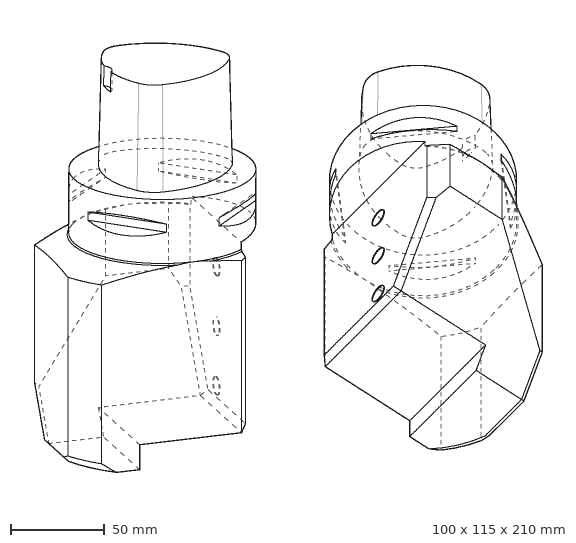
import cadquery as cq
import math


TOTAL_HEIGHT = 210

SHANK_HEIGHT = 60.0
SHANK_TAPER = 1 / 20
CORNER_CENTRE = 23.7
FLANK_CENTRE = 21.0
CORNER_RADIUS = 15.1
CORNER_ANGLES = (90, 210, 330)
CORNER_PITCH = 120

NOTCH_DIAMETER = 15.1
NOTCH_DEPTH = 11.1
NOTCH_CENTRE_Y = -36.5

FLANGE_RADIUS = 50.0
FLANGE_HEIGHT = 36.1

SLOT_FLOOR = 44.3
SLOT_FLOOR_WIDTH = 4.6
SLOT_FLARE = 30
SLOT_MID_Z = -16.2
SLOT_ANGLES = (45, 135, 225, 315)

BODY_BOTTOM = SHANK_HEIGHT - TOTAL_HEIGHT
SIDE_X = FLANGE_RADIUS
FRONT_Y = -65.0
BACK_Y = 30.5
SIDE_SLANT_START_Y = -14.0
SIDE_SLANT = 60
CORNER_ROUND = 72.5
BACK_LEFT_CHAMFER = 8.8
FRONT_CHAMFER = 3.2
BACK_CHAMFER = 3.5
SHOULDER_SLOPE = 16
SHOULDER_FLARE = 0.8

STUD_DIAMETER = 10.0
STUD_HEIGHT = 0.5
STUD_COUNT = 3
STUD_FIRST_Z = -58.8
STUD_PITCH = 33.5

UNDERCUT_START_Z = -75.0
UNDERCUT_SLANT = 60
STEP_Y = -30.9
STEP_HEIGHT = 14.0
BOTTOM_CORNER_CHAMFER = 5.9
RELIEF_Z = -32.1
RELIEF_SLOPE = 5

MARGIN = 42.0


def polar(radius, angle):
    a = math.radians(angle)
    return radius * math.cos(a), radius * math.sin(a)


def shank_outline(plane_z, corner_radius):
    """Rounded triangle with tangent corner and flank arcs."""
    corner_x, corner_y = polar(CORNER_CENTRE, CORNER_ANGLES[1])
    centre_gap = math.hypot(corner_x, FLANK_CENTRE - corner_y)
    flank_radius = corner_radius + centre_gap
    flank_half_sweep = math.degrees(math.asin(-corner_x / centre_gap))
    corner_half_sweep = CORNER_PITCH / 2 - flank_half_sweep

    def corner_point(corner, normal):
        cx, cy = polar(CORNER_CENTRE, corner)
        nx, ny = polar(corner_radius, normal)
        return cx + nx, cy + ny

    first = CORNER_ANGLES[0]
    outline = cq.Workplane("XY", origin=(0, 0, plane_z))
    outline = outline.moveTo(*corner_point(first, first - corner_half_sweep))
    for corner in CORNER_ANGLES:
        following = corner + CORNER_PITCH
        outline = outline.threePointArc(
            polar(CORNER_CENTRE + corner_radius, corner),
            corner_point(corner, corner + corner_half_sweep),
        )
        outline = outline.threePointArc(
            polar(flank_radius - FLANK_CENTRE, corner + CORNER_PITCH / 2),
            corner_point(following, following - corner_half_sweep),
        )
    return outline.wire().val()


def make_shank():
    top_radius = CORNER_RADIUS - SHANK_HEIGHT * SHANK_TAPER / 2
    base = shank_outline(0, CORNER_RADIUS)
    top = shank_outline(SHANK_HEIGHT, top_radius)
    shank = cq.Workplane(cq.Solid.makeLoft([base, top], True))
    notch = (
        cq.Workplane("XY", origin=(0, NOTCH_CENTRE_Y, SHANK_HEIGHT - NOTCH_DEPTH))
        .circle(NOTCH_DIAMETER / 2)
        .extrude(NOTCH_DEPTH)
    )
    return shank.cut(notch)


def make_slot_cutter(angle):
    """Flat-floored slot with flared side walls, tangential to the flange."""
    reach = FLANGE_RADIUS - SLOT_FLOOR
    floor_half = SLOT_FLOOR_WIDTH / 2
    mouth_half = floor_half + reach * math.tan(math.radians(SLOT_FLARE))
    return (
        cq.Workplane("XZ")
        .polyline([
            (SLOT_FLOOR, SLOT_MID_Z - floor_half),
            (FLANGE_RADIUS, SLOT_MID_Z - mouth_half),
            (FLANGE_RADIUS, SLOT_MID_Z + mouth_half),
            (SLOT_FLOOR, SLOT_MID_Z + floor_half),
        ])
        .close()
        .extrude(FLANGE_RADIUS, both=True)
        .rotate((0, 0, 0), (0, 0, 1), angle)
    )


def make_flange():
    flange = cq.Workplane("XY").circle(FLANGE_RADIUS).extrude(-FLANGE_HEIGHT)
    for angle in SLOT_ANGLES:
        flange = flange.cut(make_slot_cutter(angle))

    rim_y = FLANGE_RADIUS
    rise = (rim_y - BACK_Y) * math.tan(math.radians(RELIEF_SLOPE))
    relief = (
        cq.Workplane("YZ")
        .polyline([
            (BACK_Y, RELIEF_Z),
            (rim_y, RELIEF_Z + rise),
            (rim_y, -FLANGE_HEIGHT),
            (BACK_Y, -FLANGE_HEIGHT),
        ])
        .close()
        .extrude(FLANGE_RADIUS, both=True)
    )
    return flange.cut(relief)


def make_body_blank():
    """Body outline in plan, extruded down from the flange."""
    slant_run = (SIDE_SLANT_START_Y - FRONT_Y) / math.tan(math.radians(SIDE_SLANT))
    round_x = math.sqrt(CORNER_ROUND**2 - FRONT_Y**2)
    round_y = -math.sqrt(CORNER_ROUND**2 - SIDE_X**2)
    round_mid_angle = math.degrees(math.atan2(FRONT_Y + round_y, round_x + SIDE_X))
    return (
        cq.Workplane("XY", origin=(0, 0, BODY_BOTTOM))
        .moveTo(-SIDE_X, SIDE_SLANT_START_Y)
        .lineTo(-SIDE_X + slant_run, FRONT_Y)
        .lineTo(round_x, FRONT_Y)
        .threePointArc(polar(CORNER_ROUND, round_mid_angle), (SIDE_X, round_y))
        .lineTo(SIDE_X, BACK_Y - BACK_CHAMFER)
        .lineTo(SIDE_X - BACK_CHAMFER, BACK_Y)
        .lineTo(-SIDE_X + BACK_LEFT_CHAMFER, BACK_Y)
        .lineTo(-SIDE_X, BACK_Y - BACK_LEFT_CHAMFER)
        .close()
        .extrude(-FLANGE_HEIGHT - BODY_BOTTOM)
    )


def make_turned_envelope():
    """Solid of revolution giving the flare, the shoulder cone and the bottom corner chamfer."""
    outer = CORNER_ROUND + MARGIN
    slope = math.tan(math.radians(SHOULDER_SLOPE))
    shoulder_radius = FLANGE_RADIUS + SHOULDER_FLARE
    shoulder_z = -FLANGE_HEIGHT - SHOULDER_FLARE
    chamfer_end_z = BODY_BOTTOM + BOTTOM_CORNER_CHAMFER + outer - CORNER_ROUND
    return (
        cq.Workplane("XZ")
        .polyline([
            (0, BODY_BOTTOM),
            (CORNER_ROUND - BOTTOM_CORNER_CHAMFER, BODY_BOTTOM),
            (outer, chamfer_end_z),
            (outer, shoulder_z - (outer - shoulder_radius) * slope),
            (shoulder_radius, shoulder_z),
            (FLANGE_RADIUS, -FLANGE_HEIGHT),
            (0, -FLANGE_HEIGHT),
        ])
        .close()
        .revolve(360, (0, 0, 0), (0, 1, 0))
    )


def make_undercut():
    """Wedge that leaves the slanted underside at the left."""
    run = (UNDERCUT_START_Z - BODY_BOTTOM) / math.tan(math.radians(UNDERCUT_SLANT))
    return (
        cq.Workplane("XZ")
        .polyline([
            (-SIDE_X, UNDERCUT_START_Z),
            (-SIDE_X + run, BODY_BOTTOM),
            (-SIDE_X, BODY_BOTTOM),
        ])
        .close()
        .extrude(-FRONT_Y + MARGIN, both=True)
    )


def make_step():
    """Block that raises the bottom face behind the front foot."""
    return cq.Workplane("XY", origin=(0, STEP_Y, BODY_BOTTOM)).box(
        2 * SIDE_X, BACK_Y - STEP_Y, STEP_HEIGHT, centered=(True, False, False)
    )


def make_body():
    body = make_body_blank().cut(make_undercut()).cut(make_step())

    body_middle_z = (BODY_BOTTOM - FLANGE_HEIGHT) / 2
    for face, size in (("<Y", FRONT_CHAMFER), (">Y", BACK_CHAMFER)):
        lower_edges = [
            edge
            for edge in body.faces(face).edges("not(|Z)").vals()
            if edge.Center().z < body_middle_z
        ]
        body = body.newObject(lower_edges).chamfer(size)
    return body.intersect(make_turned_envelope())


def make_stud(index):
    """Low round stud standing on the back face."""
    return cq.Workplane(
        cq.Solid.makeCylinder(
            STUD_DIAMETER / 2,
            STUD_HEIGHT,
            cq.Vector(0, BACK_Y, STUD_FIRST_Z - index * STUD_PITCH),
            cq.Vector(0, 1, 0),
        )
    )


result = make_shank().union(make_flange()).union(make_body())
for stud_index in range(STUD_COUNT):
    result = result.union(make_stud(stud_index))